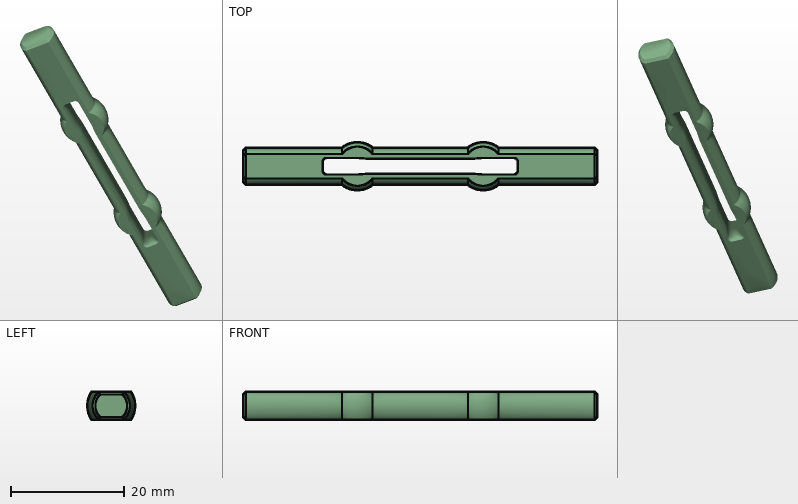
import cadquery as cq

bar_length = 62.5
bar_diameter = 6.6
thickness = 5.0
end_chamfer = 0.5

ball_diameter = 8.54
ball_spacing = 22.2

slot_length = 34.4
slot_end_width = 2.9
slot_middle_width = 2.6
slot_middle_length = 18.5
slot_taper_length = 2.0
slot_corner_radius = 0.7


def between_flats(body):
    """Keep the part of a body that lies between the top and bottom flats."""
    slab = cq.Workplane("XY").box(bar_length, ball_diameter, thickness)
    return body.intersect(slab)


def make_bar():
    """Flatted rod with every edge of both end faces chamfered."""
    rod = cq.Workplane("YZ").circle(bar_diameter / 2).extrude(bar_length / 2, both=True)
    return between_flats(rod).faces("<X or >X").chamfer(end_chamfer)


def make_ball(x_center):
    """Ball on the bar axis, cut by the same flats as the bar."""
    ball = cq.Workplane("XY").sphere(ball_diameter / 2).translate((x_center, 0, 0))
    return between_flats(ball)


def make_slot():
    """Through cutter for the waisted slot, with rounded outer corners."""
    x_end = slot_length / 2
    x_middle = slot_middle_length / 2
    x_taper = x_middle + slot_taper_length
    y_end = slot_end_width / 2
    y_middle = slot_middle_width / 2
    upper_side = [
        (-x_end, y_end),
        (-x_taper, y_end),
        (-x_middle, y_middle),
        (x_middle, y_middle),
        (x_taper, y_end),
        (x_end, y_end),
    ]
    lower_side = [(x, -y) for x, y in reversed(upper_side)]
    outline = cq.Workplane("XY").polyline(upper_side + lower_side).close()
    cutter = outline.extrude(thickness / 2, both=True)
    return cutter.edges("|Z and (<X or >X)").fillet(slot_corner_radius)


result = make_bar()
for side in (-1, 1):
    result = result.union(make_ball(side * ball_spacing / 2))
result = result.cut(make_slot())